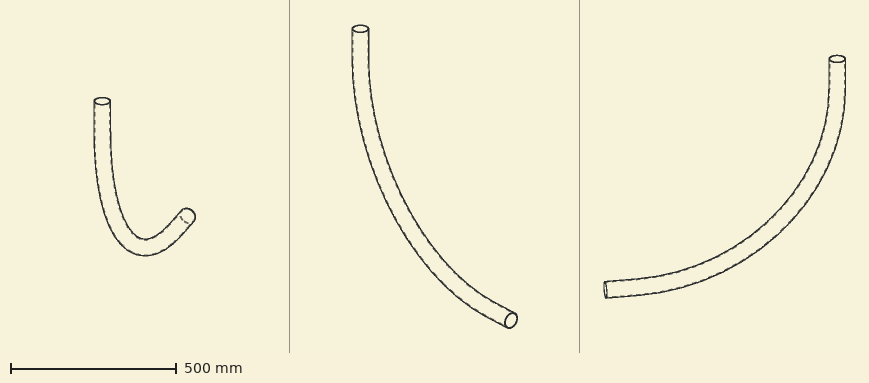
import cadquery as cq

overall_size = 736.5
outer_diameter = 51.0
inner_diameter = 45.0
straight_length = 100.0

bend_radius = overall_size - straight_length - outer_diameter / 2


def straight_end(plane):
    """Straight tube starting at the plane origin and running along its normal."""
    return (
        cq.Workplane(plane)
        .circle(outer_diameter / 2)
        .circle(inner_diameter / 2)
        .extrude(straight_length)
    )


def quarter_bend():
    """Tube bent 90 degrees about the X axis, from the -Y side round to the -Z side."""
    return (
        cq.Workplane("XY")
        .center(0, -bend_radius)
        .circle(outer_diameter / 2)
        .circle(inner_diameter / 2)
        .revolve(90, (0, bend_radius, 0), (1, bend_radius, 0))
    )


upright_end = straight_end(cq.Plane((0, -bend_radius, 0), (1, 0, 0), (0, 0, 1)))
level_end = straight_end(cq.Plane((0, 0, -bend_radius), (1, 0, 0), (0, 1, 0)))

result = quarter_bend().union(upright_end).union(level_end)